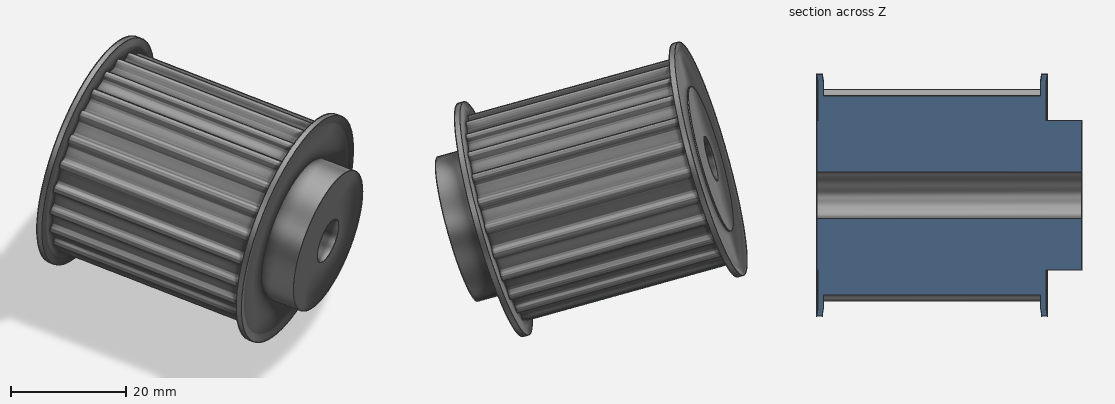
import cadquery as cq
import math

total_length = 46.0
flange_diameter = 42.0
flange_face_diameter = 39.1
flange_thickness = 1.0
flange_cone_depth = 0.25
flanged_length = 40.0
hub_diameter = 26.0
bore_diameter = 8.0

tooth_count = 24
tip_radius = 18.5
tooth_height = 1.2
root_radius = tip_radius - tooth_height
tip_half_width = 0.55
flank_angle = 22.0
tooth_fillet = 0.7

tooth_start = flange_cone_depth + flange_thickness
tooth_end = flanged_length - tooth_start
tooth_pitch = 360.0 / tooth_count


def polar(radius, angle):
    """Point in the YZ section, at an angle in degrees."""
    return radius * math.cos(math.radians(angle)), radius * math.sin(math.radians(angle))


def toothed_body():
    """Body with trapezoidal teeth with rounded tips and roots, one tooth per pitch."""
    root_half_width = tip_half_width + tooth_height * math.tan(math.radians(flank_angle))
    tip_angle = math.degrees(math.asin(tip_half_width / tip_radius))
    root_angle = math.degrees(math.asin(root_half_width / root_radius))

    section = cq.Workplane("YZ", origin=(tooth_start, 0, 0))
    section = section.moveTo(*polar(root_radius, tooth_pitch / 2 - root_angle))
    for tooth in range(tooth_count):
        middle = (tooth + 0.5) * tooth_pitch
        section = section.lineTo(*polar(tip_radius, middle - tip_angle))
        section = section.threePointArc(polar(tip_radius, middle), polar(tip_radius, middle + tip_angle))
        section = section.lineTo(*polar(root_radius, middle + root_angle))
        section = section.threePointArc(
            polar(root_radius, middle + tooth_pitch / 2),
            polar(root_radius, middle + tooth_pitch - root_angle),
        )
    body = section.close().extrude(tooth_end - tooth_start)
    return body.edges("|X").fillet(tooth_fillet)


def flange():
    """Disc whose rim is dished towards -X, revolved about the X axis."""
    rim = flange_diameter / 2
    face = flange_face_diameter / 2
    outline = [
        (flange_cone_depth, 0),
        (flange_cone_depth, face),
        (0, rim),
        (flange_thickness, rim),
        (tooth_start, face),
        (tooth_start, 0),
    ]
    return cq.Workplane("XY").polyline(outline).close().revolve(360, (0, 0, 0), (1, 0, 0))


first_flange = flange()
second_flange = first_flange.mirror("YZ").translate((flanged_length, 0, 0))
hub = cq.Workplane("YZ").circle(hub_diameter / 2).extrude(total_length)
bore = cq.Workplane("YZ").circle(bore_diameter / 2).extrude(total_length)

result = toothed_body().union(first_flange).union(second_flange).union(hub).cut(bore)